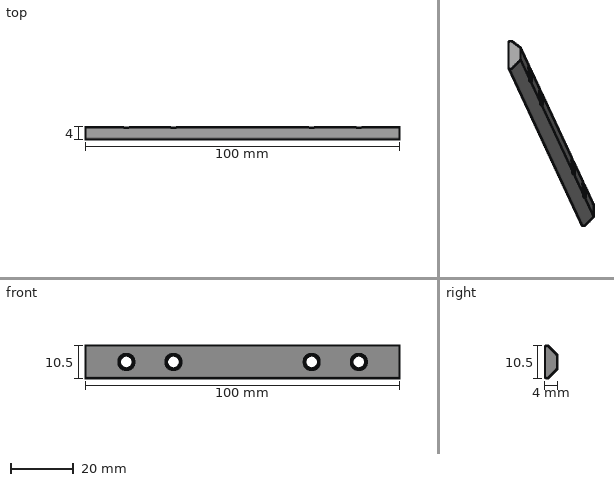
import cadquery as cq
import math

length = 100.0
thickness = 4.0
height = 10.5
edge_radius = 0.7

hole_diameter = 4.1
countersink_diameter = 5.1
countersink_depth = (countersink_diameter - hole_diameter) / 2
inner_hole_x = 22.0
outer_hole_x = 37.0

diagonal = edge_radius * math.sqrt(0.5)
arc_center_z = height / 2 - edge_radius
flank_start_y = edge_radius + diagonal
flank_start_z = arc_center_z + diagonal
back_half_height = flank_start_z - (thickness - flank_start_y)
arc_angle = math.radians(67.5)
arc_mid_y = edge_radius - edge_radius * math.cos(arc_angle)
arc_mid_z = arc_center_z + edge_radius * math.sin(arc_angle)


def make_bar():
    return (
        cq.Workplane("YZ")
        .workplane(offset=-length / 2)
        .moveTo(0, -arc_center_z)
        .lineTo(0, arc_center_z)
        .threePointArc((arc_mid_y, arc_mid_z), (flank_start_y, flank_start_z))
        .lineTo(thickness, back_half_height)
        .lineTo(thickness, -back_half_height)
        .lineTo(flank_start_y, -flank_start_z)
        .threePointArc((arc_mid_y, -arc_mid_z), (0, -arc_center_z))
        .close()
        .extrude(length)
    )


def make_hole_cutter(x):
    """Hole along Y with a 45 degree countersink at each face, as a revolved half section."""
    hole_radius = hole_diameter / 2
    sink_radius = countersink_diameter / 2
    half_section = [
        (x, 0),
        (x + sink_radius, 0),
        (x + hole_radius, countersink_depth),
        (x + hole_radius, thickness - countersink_depth),
        (x + sink_radius, thickness),
        (x, thickness),
    ]
    return cq.Workplane("XY").polyline(half_section).close().revolve(360, (x, 0, 0), (x, 1, 0))


result = make_bar()
for hole_x in (-outer_hole_x, -inner_hole_x, inner_hole_x, outer_hole_x):
    result = result.cut(make_hole_cutter(hole_x))